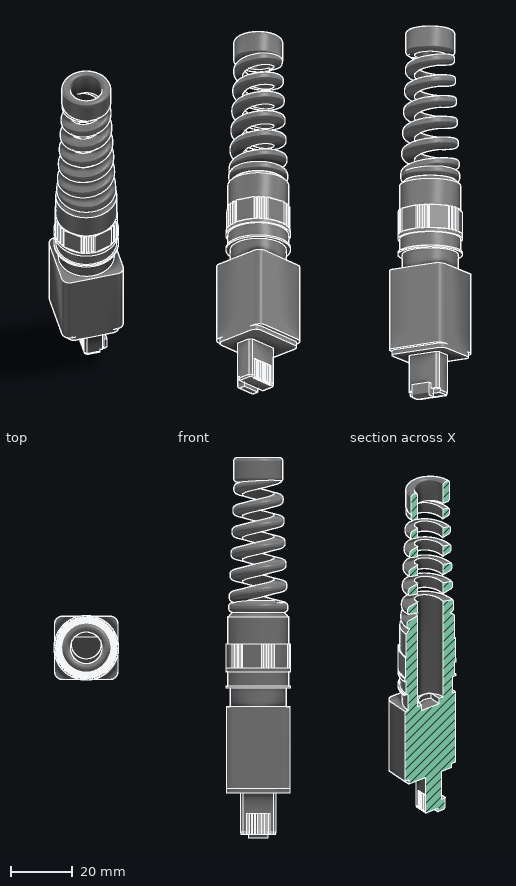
import math

import cadquery as cq


HOUSING_WIDTH = 20.6
HOUSING_TOP = 28.0
HOUSING_CORNER = 2.6
PLATE_DEPTH = 17.4
PLATE_HEIGHT = 1.5
PLATE_CORNER = 2.4

PLUG_WIDTH = 11.55
PLUG_DEPTH = 6.7
PLUG_LENGTH = 13.4
PLUG_OFFSET_Y = 1.28
PLUG_CHAMFER = 0.8
PLUG_TIP_HEIGHT = 0.75
PLUG_TIP_INSET = 0.25
CONTACT_COUNT = 8
CONTACT_PITCH = 1.02
CONTACT_WIDTH = 0.6
CONTACT_LENGTH = 6.8
CONTACT_DEPTH = 0.6

TIP_Z = -14.65
HOOK_WIDTH = 6.4
HOOK_HEIGHT = 4.35
HOOK_OUTSIDE = 1.5
HOOK_UNDERLAP = 1.5
HOOK_NOTCH_HEIGHT = 1.35
HOOK_RADIUS = 1.0

NECK_RADIUS = 9.1
COLLAR_RADIUS = 10.5
COLLAR_BOTTOM = 34.0
COLLAR_TOP = 34.6
BODY_RADIUS = 9.9
NUT_RING_BOTTOM = 39.2
NUT_RING_TOP = 40.5
NUT_TOP = 48.3
BODY_TOP = 57.0
CONE_HEIGHT = 1.5

GRIP_SIDES = 6
GRIP_ANGLE = 360 / GRIP_SIDES
FLAT_AZIMUTH = 18.0
FLAT_APOTHEM = 10.05
GROOVES_PER_GROUP = 3
GROOVE_PITCH_ANGLE = 9.3
GROOVE_HALF_ANGLE = 3.2
ROOT_HALF_ANGLE = 1.3
GROOVE_ROOT_RADIUS = 9.95

BORE_RADIUS = 5.1
COIL_PITCH = 7.0
COIL_TURNS = 6
COIL_START = 60.1
COIL_START_RADIUS = 9.6
COIL_END_RADIUS = 7.8
COIL_ROOT_RADIUS = 4.5
COIL_ROOT_HEIGHT = 4.6
COIL_RIM_HEIGHT = 3.1
COIL_RIM_FILLET = 1.2
CAP_RADIUS = 8.0
CAP_BOTTOM = 100.7
CAP_TOP = 108.7
CAP_FILLET = 1.2

SEAT_Z = HOUSING_TOP
SEAT_RADIUS = 4.85
SEAT_FLAT_Y = 3.5
SEAT_DEPTH = 2.0


def cylinder(radius, bottom, top):
    return cq.Workplane("XY").workplane(offset=bottom).circle(radius).extrude(top - bottom)


def block(width, depth, bottom, top):
    return cq.Workplane("XY").workplane(offset=bottom).rect(width, depth).extrude(top - bottom)


def polar(radius, degrees):
    angle = math.radians(degrees)
    return (radius * math.cos(angle), radius * math.sin(angle))


def make_housing():
    plate = block(HOUSING_WIDTH, PLATE_DEPTH, 0, PLATE_HEIGHT).edges("|Z").fillet(PLATE_CORNER)
    shell = block(HOUSING_WIDTH, HOUSING_WIDTH, PLATE_HEIGHT, HOUSING_TOP)
    return plate.union(shell.edges("|Z").fillet(HOUSING_CORNER))


def make_plug():
    plug = block(PLUG_WIDTH, PLUG_DEPTH, PLUG_TIP_HEIGHT - PLUG_LENGTH, 0)
    plug = plug.edges("|Z").chamfer(PLUG_CHAMFER)
    tip_taper = math.degrees(math.atan(PLUG_TIP_INSET / PLUG_TIP_HEIGHT))
    tip_outline = plug.faces("<Z").wires().toPending().workplane()
    tip = tip_outline.extrude(PLUG_TIP_HEIGHT, combine=False, taper=tip_taper)
    plug = plug.union(tip)
    first_x = -CONTACT_PITCH * (CONTACT_COUNT - 1) / 2
    for index in range(CONTACT_COUNT):
        slot = cq.Workplane("XY").box(CONTACT_WIDTH, 2 * CONTACT_DEPTH, 2 * CONTACT_LENGTH)
        plug = plug.cut(slot.translate((first_x + index * CONTACT_PITCH, -PLUG_DEPTH / 2, -PLUG_LENGTH)))
    notch = cq.Workplane("XY").box(PLUG_WIDTH, 2 * HOOK_UNDERLAP, 2 * HOOK_NOTCH_HEIGHT)
    plug = plug.cut(notch.translate((0, PLUG_DEPTH / 2, -PLUG_LENGTH)))
    return plug.translate((0, PLUG_OFFSET_Y, 0))


def make_hook():
    depth = HOOK_OUTSIDE + HOOK_UNDERLAP
    back_y = PLUG_OFFSET_Y + PLUG_DEPTH / 2
    hook = block(HOOK_WIDTH, depth, TIP_Z, TIP_Z + HOOK_HEIGHT)
    hook = hook.faces("<Z").edges(">Y").fillet(HOOK_RADIUS)
    return hook.translate((0, back_y + HOOK_OUTSIDE - depth / 2, 0))


def make_body():
    body = cylinder(NECK_RADIUS, HOUSING_TOP, COLLAR_BOTTOM)
    body = body.union(cylinder(COLLAR_RADIUS, COLLAR_BOTTOM, COLLAR_TOP))
    upper = cylinder(BODY_RADIUS, COLLAR_TOP, BODY_TOP + CONE_HEIGHT)
    upper = upper.faces(">Z").edges().chamfer(CONE_HEIGHT)
    return body.union(upper).union(cylinder(COLLAR_RADIUS, NUT_RING_BOTTOM, NUT_RING_TOP))


def make_grip():
    """Nut grip outline: a flat on each side, then arcs broken by trapezoidal grooves."""
    flat_half_angle = math.degrees(math.acos(FLAT_APOTHEM / COLLAR_RADIUS))
    first_groove = (GRIP_ANGLE - (GROOVES_PER_GROUP - 1) * GROOVE_PITCH_ANGLE) / 2
    outline = cq.Workplane("XY").workplane(offset=NUT_RING_TOP)
    outline = outline.moveTo(*polar(COLLAR_RADIUS, FLAT_AZIMUTH - flat_half_angle))
    for side in range(GRIP_SIDES):
        flat_middle = FLAT_AZIMUTH + side * GRIP_ANGLE
        arc_start = flat_middle + flat_half_angle
        outline = outline.lineTo(*polar(COLLAR_RADIUS, arc_start))
        for index in range(GROOVES_PER_GROUP):
            groove = flat_middle + first_groove + index * GROOVE_PITCH_ANGLE
            arc_end = groove - GROOVE_HALF_ANGLE
            arc_middle = (arc_start + arc_end) / 2
            outline = outline.threePointArc(polar(COLLAR_RADIUS, arc_middle), polar(COLLAR_RADIUS, arc_end))
            outline = outline.lineTo(*polar(GROOVE_ROOT_RADIUS, groove - ROOT_HALF_ANGLE))
            outline = outline.lineTo(*polar(GROOVE_ROOT_RADIUS, groove + ROOT_HALF_ANGLE))
            arc_start = groove + GROOVE_HALF_ANGLE
            outline = outline.lineTo(*polar(COLLAR_RADIUS, arc_start))
        arc_end = flat_middle + GRIP_ANGLE - flat_half_angle
        arc_middle = (arc_start + arc_end) / 2
        outline = outline.threePointArc(polar(COLLAR_RADIUS, arc_middle), polar(COLLAR_RADIUS, arc_end))
    return outline.close().extrude(NUT_TOP - NUT_RING_TOP)


def coil_profile():
    """Radial section of the coil: sloping flanks and a rim with rounded corners."""
    half_root = COIL_ROOT_HEIGHT / 2
    half_rim = COIL_RIM_HEIGHT / 2
    shoulder = COIL_START_RADIUS - COIL_RIM_FILLET
    round_centre = half_rim - COIL_RIM_FILLET
    arc_reach = COIL_RIM_FILLET * math.sqrt(0.5)
    section = cq.Workplane("XZ")
    section = section.moveTo(COIL_ROOT_RADIUS, COIL_START - half_root)
    section = section.lineTo(shoulder, COIL_START - half_rim)
    section = section.threePointArc(
        (shoulder + arc_reach, COIL_START - round_centre - arc_reach),
        (COIL_START_RADIUS, COIL_START - round_centre),
    )
    section = section.lineTo(COIL_START_RADIUS, COIL_START + round_centre)
    section = section.threePointArc(
        (shoulder + arc_reach, COIL_START + round_centre + arc_reach),
        (shoulder, COIL_START + half_rim),
    )
    return section.lineTo(COIL_ROOT_RADIUS, COIL_START + half_root).close()


def make_spiral():
    """End ring on the body and the tapering coil that rises out of it."""
    height = COIL_PITCH * COIL_TURNS
    taper = math.degrees(math.atan((COIL_END_RADIUS - COIL_START_RADIUS) / height))
    start = cq.Vector(0, 0, COIL_START)
    axis = cq.Vector(0, 0, 1)
    path = cq.Wire.makeHelix(COIL_PITCH, height, COIL_START_RADIUS, start, axis, taper)
    coil = coil_profile().sweep(cq.Workplane(path), isFrenet=True)
    ring = coil_profile().revolve(360, (0, 0, 0), (0, 1, 0))
    return ring.union(coil)


def make_cap():
    return cylinder(CAP_RADIUS, CAP_BOTTOM, CAP_TOP).edges().fillet(CAP_FILLET)


def make_bore():
    """Cable bore with a rounded mouth; the seat in its floor is in line with the plug and has one flat."""
    bore = cylinder(BORE_RADIUS, SEAT_Z, CAP_TOP)
    mouth = (
        cq.Workplane("XZ")
        .moveTo(0, CAP_TOP - CAP_FILLET)
        .lineTo(BORE_RADIUS, CAP_TOP - CAP_FILLET)
        .radiusArc((BORE_RADIUS + CAP_FILLET, CAP_TOP), CAP_FILLET)
        .lineTo(0, CAP_TOP)
        .close()
        .revolve(360, (0, 0, 0), (0, 1, 0))
    )
    seat_bottom = SEAT_Z - SEAT_DEPTH
    seat = cylinder(SEAT_RADIUS, seat_bottom, SEAT_Z).translate((0, PLUG_OFFSET_Y, 0))
    beyond_flat = block(2 * SEAT_RADIUS, 2 * SEAT_RADIUS, seat_bottom, SEAT_Z)
    seat = seat.cut(beyond_flat.translate((0, SEAT_FLAT_Y + SEAT_RADIUS, 0)))
    return bore.union(mouth).union(seat)


result = (
    make_housing()
    .union(make_plug())
    .union(make_hook())
    .union(make_body())
    .union(make_grip())
    .union(make_spiral())
    .union(make_cap())
    .cut(make_bore())
)